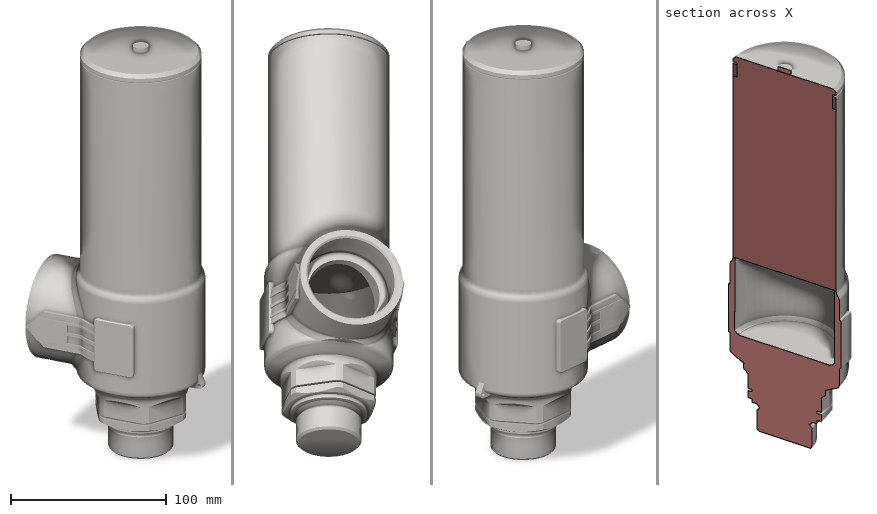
import cadquery as cq
import math


total_height = 283.8
pin_height = 3.5
bonnet_top = total_height - pin_height
joint_z = 126.5

bonnet_radius = 78.3 / 2
bonnet_chamfer = 2.3
band_bottom = 265.4
band_top = 274.7
band_thickness = 2.8
band_gap = 0.9
pin_radius = 5.0
clearance = 2.8

barrel_radius = 83.2 / 2
shoulder_start = 119.8
shoulder_mid = (joint_z + shoulder_start) / 2
barrel_base = 56.2
cone_top = 52.5
cone_top_radius = 39.5
cone_bottom = 48.2

cavity_radius = 37.5
cavity_floor = 69.2
floor_chamfer = 1.7
floor_recess_radius = 34.3
floor_recess_depth = 0.5
recess_floor = cavity_floor - floor_recess_depth

outlet_z = 86.8
outlet_radius = 67.8 / 2
outlet_face = -66.0
outlet_blend = 3.0
bore_radius = 47.5 / 2
thread_radius = 28.7
thread_depth = 19.0
relief_radius = 29.2
relief_width = 4.0
mouth_chamfer = 1.0
ramp_end = -31.8

neck_radius = 62.2 / 2
across_flats = 56.0
flat_count = 6
flat_top = 41.5
flat_runout = 2.8
slot_top = 30.0
slot_width = 1.5
collar_radius = 24.7
hex_bottom = 23.0
hex_chamfer_height = 2.0
hex_chamfer_depth = 3.5
collar_bottom = 20.5
undercut_radius = 19.0
undercut_z = 18.2
thread_top = 16.0
inlet_radius = 21.0
inlet_chamfer = 1.5

plate_face = 42.5
plate_width = 27.5
plate_height = 37.2
plate_corner = 2.3
plate_chamfer = 0.5
plate_root = 35.5
arrow_face = 35.0
arrow_root = 31.0
arrow_width = 25.0
arrow_tip = -65.5
rib_radius = 44.0
rib_fillet = 3.5
rail_width = 4.3
rail_depth = 0.5
groove_start = -36.0
groove_width = 5.5
groove_pitch = 7.7
groove_depth = 0.9

eyelet_tip = 44.8
eyelet_radius = 2.5
eyelet_hole_radius = 1.0
eyelet_thickness = 4.5
eyelet_z = 52.0
eyelet_top = 59.5
eyelet_root = 32.5


def cylinder_z(radius, bottom, top):
    return cq.Workplane("XY").workplane(offset=bottom).circle(radius).extrude(top - bottom)


def cylinder_x(radius, start, end):
    return cq.Workplane("YZ", origin=(start, 0, outlet_z)).circle(radius).extrude(end - start)


def make_barrel():
    """Turned barrel with an S-shaped shoulder and a rounded, conical underside."""
    mid_radius = (bonnet_radius + barrel_radius) / 2
    half_step = (barrel_radius - bonnet_radius) / 2
    half_rise = (joint_z - shoulder_start) / 2
    arc_radius = (half_step**2 + half_rise**2) / (2 * half_step)
    return (
        cq.Workplane("XZ")
        .moveTo(0, cone_bottom)
        .lineTo(neck_radius, cone_bottom)
        .lineTo(cone_top_radius, cone_top)
        .tangentArcPoint((barrel_radius, barrel_base), relative=False)
        .lineTo(barrel_radius, shoulder_start)
        .radiusArc((mid_radius, shoulder_mid), -arc_radius)
        .radiusArc((bonnet_radius, joint_z), arc_radius)
        .lineTo(0, joint_z)
        .close()
        .revolve(360, (0, 0, 0), (0, 1, 0))
    )


def make_outlet():
    """Outlet branch blended into the barrel wall and trimmed to the barrel's ends."""
    branch = cylinder_x(outlet_radius, outlet_face, 0)
    tall_barrel = cylinder_z(barrel_radius, 0, 2 * outlet_z)
    corner = cq.selectors.BoxSelector(
        (-barrel_radius, -outlet_radius, outlet_z - outlet_radius),
        (-clearance, outlet_radius, outlet_z + outlet_radius),
    )
    blended = tall_barrel.union(branch).edges(corner).chamfer(outlet_blend)
    outside = cylinder_z(-outlet_face + clearance, outlet_z - outlet_radius, joint_z).cut(tall_barrel)
    return blended.intersect(outside).union(branch)


def make_neck():
    """Hexagonal neck, sealing collar, undercut and inlet thread."""
    neck = (
        cq.Workplane("XZ")
        .polyline(
            [
                (0, 0),
                (inlet_radius - inlet_chamfer, 0),
                (inlet_radius, inlet_chamfer),
                (inlet_radius, thread_top),
                (undercut_radius, undercut_z),
                (undercut_radius + collar_bottom - undercut_z, collar_bottom),
                (collar_radius, collar_bottom),
                (collar_radius, hex_bottom),
                (neck_radius - hex_chamfer_depth, hex_bottom),
                (neck_radius, hex_bottom + hex_chamfer_height),
                (neck_radius, slot_top - slot_width),
                (collar_radius, slot_top - slot_width),
                (collar_radius, slot_top),
                (neck_radius, slot_top),
                (neck_radius, cone_bottom),
                (0, cone_bottom),
            ]
        )
        .close()
        .revolve(360, (0, 0, 0), (0, 1, 0))
    )
    flat = across_flats / 2
    depth = neck_radius - flat
    flat_cutter = (
        cq.Workplane("YZ")
        .polyline(
            [
                (-flat, collar_bottom),
                (-flat, flat_top),
                (-flat - depth, flat_top + flat_runout),
                (-flat - 2 * depth, flat_top + flat_runout),
                (-flat - 2 * depth, collar_bottom),
            ]
        )
        .close()
        .extrude(neck_radius, both=True)
    )
    for side in range(flat_count):
        neck = neck.cut(flat_cutter.rotate((0, 0, 0), (0, 0, 1), 360 / flat_count * side))
    return neck


def arrow_layer(sunk):
    """Band along the -Y flank whose skin lies the given depth below the arrow's face."""
    face = arrow_face - sunk
    slab = (
        cq.Workplane("XY")
        .polyline([(arrow_tip, -arrow_root), (arrow_tip, -face), (0, -face), (0, -arrow_root)])
        .close()
        .extrude(2 * outlet_z)
    )
    wrap = cylinder_z(rib_radius - sunk, 0, 2 * outlet_z)
    bend_x = -math.sqrt((rib_radius - sunk) ** 2 - face**2)
    bend = cq.selectors.BoxSelector(
        (bend_x - rib_fillet, -face - rib_fillet, 0),
        (bend_x + rib_fillet, -face + rib_fillet, 2 * outlet_z),
    )
    flank_space = (
        cq.Workplane("XY")
        .rect(-2 * arrow_tip, plate_face - arrow_root)
        .extrude(2 * outlet_z)
        .translate((0, -(plate_face + arrow_root) / 2, 0))
    )
    return slab.union(wrap).edges(bend).edges("|Z").fillet(rib_fillet).intersect(flank_space)


def make_flank():
    """Label plate and flow arrow on the -Y flank."""
    plate = (
        cq.Workplane("XZ", origin=(0, -plate_root, outlet_z))
        .rect(plate_width, plate_height)
        .extrude(plate_face - plate_root)
        .edges("|Y")
        .fillet(plate_corner)
        .faces("<Y")
        .chamfer(plate_chamfer)
    )
    plate_edge = -plate_width / 2
    half = arrow_width / 2
    outline = (
        cq.Workplane("XZ", origin=(0, 0, outlet_z))
        .polyline([(arrow_tip, 0), (arrow_tip + half, half), (plate_edge, half),
                   (plate_edge, -half), (arrow_tip + half, -half)])
        .close()
        .extrude(plate_face)
    )
    rails = (
        cq.Workplane("XZ", origin=((arrow_tip + plate_edge) / 2, 0, outlet_z))
        .rarray(2.8, arrow_width - rail_width, 1, 2)
        .rect(plate_edge - arrow_tip, rail_width)
        .extrude(plate_face)
        .cut(arrow_layer(rail_depth))
    )
    grooves = (
        cq.Workplane("XZ", origin=((groove_start + plate_edge) / 2, 0, outlet_z))
        .rarray(2.8, groove_pitch, 1, 2)
        .rect(plate_edge - groove_start, groove_width)
        .extrude(plate_face)
        .cut(arrow_layer(groove_depth))
    )
    arrow = outline.intersect(arrow_layer(0)).cut(rails).cut(grooves)
    return plate.union(arrow)


def make_eyelet():
    """Lug with a wire hole at the barrel's lower +X edge."""
    centre_x = eyelet_tip - eyelet_radius
    bottom = eyelet_z - eyelet_radius
    lug = (
        cq.Workplane("XZ", origin=(0, eyelet_thickness / 2, 0))
        .moveTo(eyelet_root, bottom)
        .lineTo(centre_x, bottom)
        .radiusArc((eyelet_tip, eyelet_z), -eyelet_radius)
        .lineTo(eyelet_tip, eyelet_z + eyelet_radius / 2)
        .lineTo(barrel_radius, eyelet_top)
        .lineTo(eyelet_root, eyelet_top)
        .close()
        .extrude(eyelet_thickness)
    )
    hole = (
        cq.Workplane("XZ", origin=(centre_x, eyelet_thickness, eyelet_z))
        .circle(eyelet_hole_radius)
        .extrude(2 * eyelet_thickness)
    )
    return lug, hole


def make_cavity():
    """Round chamber, open at the top, with a chamfered and recessed floor."""
    chamber = cylinder_z(cavity_radius, cavity_floor, joint_z).faces("<Z").chamfer(floor_chamfer)
    return chamber.union(cylinder_z(floor_recess_radius, recess_floor, joint_z))


def make_outlet_bore():
    """Threaded mouth with relief, and the bore that ramps up to the cavity floor."""
    relief_start = outlet_face + thread_depth
    relief_end = relief_start + relief_width
    mouth = (
        cq.Workplane("XZ", origin=(0, 0, outlet_z))
        .polyline(
            [
                (outlet_face, 0),
                (outlet_face, thread_radius + mouth_chamfer),
                (outlet_face + mouth_chamfer, thread_radius),
                (relief_start, thread_radius),
                (relief_start, relief_radius),
                (relief_end, relief_radius),
                (relief_end, 0),
            ]
        )
        .close()
        .revolve(360, (0, 0, 0), (1, 0, 0))
    )
    bore_bottom = outlet_z - bore_radius
    ramp_start = ramp_end - (recess_floor - bore_bottom)
    ramp = (
        cq.Workplane("XZ", origin=(0, bore_radius, 0))
        .polyline([(ramp_start, bore_bottom), (ramp_end, recess_floor),
                   (0, recess_floor), (0, bore_bottom)])
        .close()
        .extrude(2 * bore_radius)
    )
    return mouth.union(cylinder_x(bore_radius, outlet_face, 0).cut(ramp))


def make_housing():
    flank = make_flank()
    lug, lug_hole = make_eyelet()
    housing = make_barrel().union(make_outlet()).union(make_neck()).union(lug)
    housing = housing.union(flank).union(flank.mirror("XZ"))
    return housing.cut(make_cavity()).cut(make_outlet_bore()).cut(lug_hole)


def make_bonnet():
    """Closed cylinder with a chamfered head and a recess for the band."""
    recess_top = band_top + band_gap
    core = cylinder_z(bonnet_radius - band_thickness, band_bottom, recess_top)
    recess = cylinder_z(bonnet_radius + clearance, band_bottom, recess_top).cut(core)
    return cylinder_z(bonnet_radius, joint_z, bonnet_top).faces(">Z").chamfer(bonnet_chamfer).cut(recess)


def make_band():
    return cylinder_z(bonnet_radius, band_bottom, band_top).cut(
        cylinder_z(bonnet_radius - band_thickness, band_bottom, band_top)
    )


def make_pin():
    return cylinder_z(pin_radius, bonnet_top, total_height)


housing = make_housing()
bonnet = make_bonnet()
band = make_band()
pin = make_pin()

result = cq.Compound.makeCompound([housing.val(), bonnet.val(), band.val(), pin.val()])